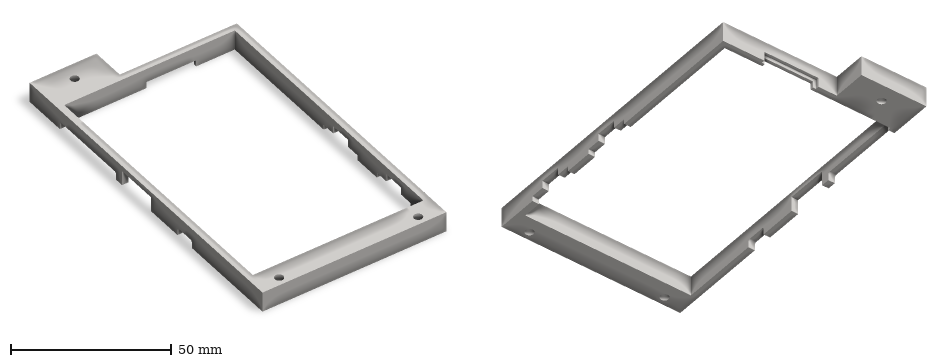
import cadquery as cq

LENGTH = 127.0
WIDTH = 69.8
HEIGHT = 7.6

TAB_LENGTH = 12.7
TAB_WIDTH = 25.4

SIDE_WALL = 2.5
LEFT_WALL = 2.5
RIGHT_WALL = 8.9

HOLE_DIAMETER = 3.2
TAB_HOLE = (6.4, TAB_WIDTH / 2)
HOLE_EDGE_X = 3.2
HOLE_EDGE_Y = 8.5

ROUNDED_NOTCHES = [(16.5, 47.2), (80.6, 88.5)]
ROUNDED_NOTCH_HEIGHT = 2.9
NOTCH_RADIUS = 0.9
TALL_NOTCH = (50.4, 66.2)
TALL_NOTCH_HEIGHT = 5.6

STEPPED_NOTCH_STARTS = [63.8, 92.7]
STEPPED_NOTCH_WIDTH = 18.4
STEPPED_NOTCH_HEIGHT = 1.9
NOTCH_MIDDLE_WIDTH = 8.1
NOTCH_MIDDLE_HEIGHT = 4.7

OPENING_CENTER_Y = 43.2
OPENING_WIDTH = 18.9
OPENING_HEIGHT = 2.4
RECESS_BORDER = 1.1
RECESS_DEPTH = 1.3


def box_between(x_start, x_end, y_start, y_end, height):
    """Box standing on the underside plane."""
    return (
        cq.Workplane("XY")
        .box(x_end - x_start, y_end - y_start, height, centered=False)
        .translate((x_start, y_start, 0))
    )


def make_frame():
    body = box_between(TAB_LENGTH, LENGTH, 0, WIDTH, HEIGHT)
    tab = box_between(0, TAB_LENGTH, 0, TAB_WIDTH, HEIGHT)
    window = box_between(
        TAB_LENGTH + LEFT_WALL, LENGTH - RIGHT_WALL, SIDE_WALL, WIDTH - SIDE_WALL, HEIGHT
    )
    return body.union(tab).cut(window)


def make_holes():
    right_x = LENGTH - HOLE_EDGE_X
    centers = [TAB_HOLE, (right_x, HOLE_EDGE_Y), (right_x, WIDTH - HOLE_EDGE_Y)]
    return cq.Workplane("XY").pushPoints(centers).circle(HOLE_DIAMETER / 2).extrude(HEIGHT)


def make_rounded_notch(x_start, x_end):
    """Front wall notch with its two upper corners rounded."""
    notch = box_between(x_start, x_end, 0, SIDE_WALL, ROUNDED_NOTCH_HEIGHT)
    return notch.faces(">Z").edges("|Y").fillet(NOTCH_RADIUS)


def make_stepped_notch(x_start):
    y_range = (WIDTH - SIDE_WALL, WIDTH)
    x_end = x_start + STEPPED_NOTCH_WIDTH
    shoulder = (STEPPED_NOTCH_WIDTH - NOTCH_MIDDLE_WIDTH) / 2
    low = box_between(x_start, x_end, *y_range, STEPPED_NOTCH_HEIGHT)
    middle = box_between(x_start + shoulder, x_end - shoulder, *y_range, NOTCH_MIDDLE_HEIGHT)
    return low.union(middle)


def make_left_opening():
    y_start = OPENING_CENTER_Y - OPENING_WIDTH / 2
    y_end = OPENING_CENTER_Y + OPENING_WIDTH / 2
    opening = box_between(TAB_LENGTH, TAB_LENGTH + LEFT_WALL, y_start, y_end, OPENING_HEIGHT)
    recess = box_between(
        TAB_LENGTH,
        TAB_LENGTH + RECESS_DEPTH,
        y_start - RECESS_BORDER,
        y_end + RECESS_BORDER,
        OPENING_HEIGHT + RECESS_BORDER,
    )
    return opening.union(recess)


result = make_frame().cut(make_holes())
for notch_start, notch_end in ROUNDED_NOTCHES:
    result = result.cut(make_rounded_notch(notch_start, notch_end))
result = result.cut(box_between(*TALL_NOTCH, 0, SIDE_WALL, TALL_NOTCH_HEIGHT))
for notch_start in STEPPED_NOTCH_STARTS:
    result = result.cut(make_stepped_notch(notch_start))
result = result.cut(make_left_opening())